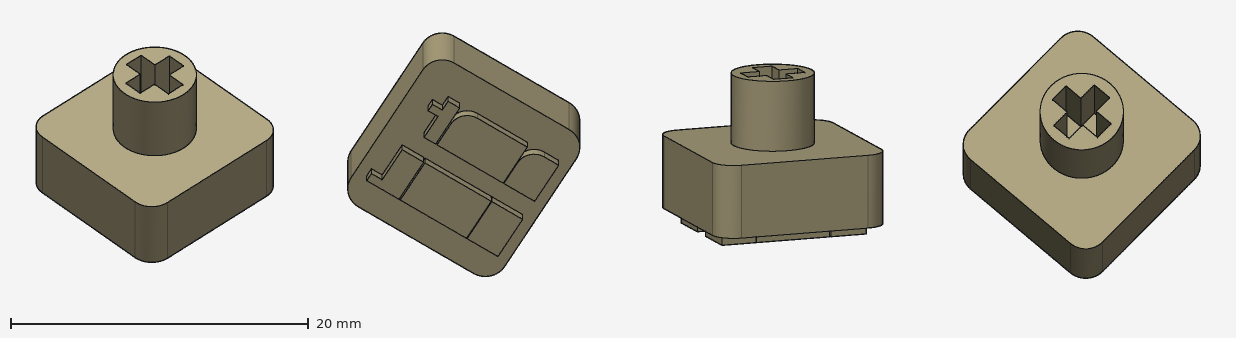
import cadquery as cq

base_x = 12.14
base_y = 12.2
base_height = 5.0
corner_radius = 1.53

stem_diameter = 5.6
stem_height = 4.8
socket_span_x = 4.1
socket_span_y = 4.03
socket_arm_x = 1.4
socket_arm_y = 1.36
socket_depth = stem_height

foot_height = 0.9
foot_overlap = 0.1
front_row = (-3.84, -0.78)
rear_row = (0.75, 3.9)
middle_foot = (-2.6, 2.64)
right_foot = (2.68, 5.12)
foot_radius = 1.3

left_foot_end = -2.7
front_stem_start = -3.62
front_bar_start = -4.4
front_bar_y = (-3.1, -2.55)
rear_stem_start = front_bar_start
rear_bar_start = -5.25
rear_bar_y = (3.3, rear_row[1])


def make_base():
    base = cq.Workplane("XY").box(base_x, base_y, base_height, centered=(True, True, False))
    return base.edges("|Z").fillet(corner_radius)


def make_stem():
    return cq.Workplane("XY").workplane(offset=base_height).circle(stem_diameter / 2).extrude(stem_height)


def make_socket():
    """Cross-shaped cutter reaching down from the top of the stem."""
    top = cq.Workplane("XY").workplane(offset=base_height + stem_height)
    bar_along_x = top.rect(socket_span_x, socket_arm_y).extrude(-socket_depth)
    bar_along_y = top.rect(socket_arm_x, socket_span_y).extrude(-socket_depth)
    return bar_along_x.union(bar_along_y)


def make_foot(x_limits, y_limits):
    """Rectangular foot hanging below the base between the given limits."""
    x_min, x_max = x_limits
    y_min, y_max = y_limits
    height = foot_height + foot_overlap
    foot = cq.Workplane("XY").box(x_max - x_min, y_max - y_min, height, centered=False)
    return foot.translate((x_min, y_min, -foot_height))


def make_barred_foot(stem_start, stem_y, bar_start, bar_y):
    """Foot nearest -X: a rectangular stem with a narrower bar reaching further toward -X."""
    stem = make_foot((stem_start, left_foot_end), stem_y)
    return stem.union(make_foot((bar_start, left_foot_end), bar_y))


def make_rounded_foot(x_limits):
    """Front-row foot with its corner toward -X and -Y rounded."""
    foot = make_foot(x_limits, front_row)
    return foot.edges("|Z").edges("<X").edges("<Y").fillet(foot_radius)


def make_feet():
    return [
        make_barred_foot(front_stem_start, front_row, front_bar_start, front_bar_y),
        make_barred_foot(rear_stem_start, rear_row, rear_bar_start, rear_bar_y),
        make_rounded_foot(middle_foot),
        make_rounded_foot(right_foot),
        make_foot(middle_foot, rear_row),
        make_foot(right_foot, rear_row),
    ]


result = make_base().union(make_stem()).cut(make_socket())
for foot in make_feet():
    result = result.union(foot)